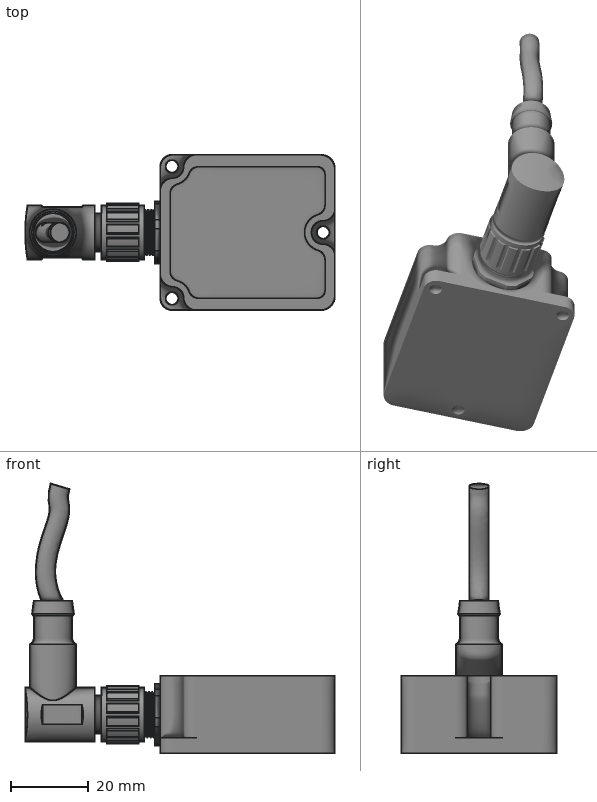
import cadquery as cq
import math


margin = 0.1

length = 45.0
width = 40.0
height = 20.0
flange_height = 4.1
front_corner_radius = 3.2
back_corner_radius = 3.7
hole_inset = 3.0
hole_radius = 1.6
notch_radius = 3.0
notch_edge_radius = 3.2
slot_edge_radius = 2.95

wall_x = 2.55
wall_y = 3.1
floor_thickness = 2.55
boss_radius = 4.8
cavity_corner_radius = 2.55
cavity_back_radius = 2.0
fill_gap = 0.3

mounting_points = [
    (hole_inset, width / 2 - hole_inset),
    (hole_inset, hole_inset - width / 2),
    (length - hole_inset, 0),
]

axis_z = 10.0
hex_front = -1.4
ring_back = -4.1
pad_back = -5.5
pad_front = -13.7
ring_front = -15.15
elbow_back = -16.8
elbow_front = length - 79.75

hex_across_flats = 15.0
hex_corner_radius = 8.05
hex_turn = 15.5
thread_core_radius = 5.4
thread_radius = 5.9
thread_pitch = 0.8
thread_foot = 0.7

barrel_radius = 7.0
pad_radius = 7.5
pad_count = 13
pad_base_angle = 23.0
pad_top_angle = 16.0
neck_radius = 4.95

end_face_radius = 38.9
flat_length = 10.1
flat_height = 5.0
flat_end_slope = 0.4
flat_middle_x = -25.2
tube_x = -27.6
tube_radius = 6.0
tube_top = 28.1
stem_radius = 4.95
blend_top = 29.75
collar_bottom = 35.5
collar_bottom_radius = 5.1
collar_widest_z = 35.9
collar_radius = 5.4
collar_top = 39.3
cable_radius = 2.55
cable_path = [(-27.3, 38.3), (-29.5, 46.25), (-27.8, 55.6), (-25.9, 63.0), (-25.75, 68.75)]
cable_start_tilt = -30.0
cable_end_tilt = 16.7


def box(x0, x1, y0, y1, z0, z1):
    """Block between two opposite corners."""
    return cq.Workplane("XY").box(x1 - x0, y1 - y0, z1 - z0, centered=False).translate((x0, y0, z0))


def rod(x0, x1, radius):
    """Cylinder on the connector axis."""
    return cq.Workplane("YZ", origin=(x0, 0, axis_z)).circle(radius).extrude(x1 - x0)


def polar(radius, degrees):
    angle = math.radians(degrees)
    return radius * math.cos(angle), radius * math.sin(angle)


def make_flange():
    """Full-size plate with rounded corners at the bottom of the housing."""
    plate = box(0, length, -width / 2, width / 2, 0, flange_height)
    plate = plate.edges("|Z and <X").fillet(front_corner_radius)
    return plate.edges("|Z and >X").fillet(back_corner_radius)


def make_upper_block():
    """Block above the flange, notched around each mounting hole."""
    half = width / 2
    block = box(0, length, -half, half, 0, height)
    block = block.edges("|Z and >X").fillet(back_corner_radius)

    notch_size = hole_inset + notch_radius
    for y in (-half, half - notch_size):
        block = block.cut(box(0, notch_size, y, y + notch_size, 0, height))
    for sign in (-1, 1):
        inner = (notch_size, sign * (half - notch_size), height / 2)
        side_edges = [(0, inner[1], inner[2]), (notch_size, sign * half, inner[2])]
        block = block.edges(cq.NearestToPointSelector(inner)).fillet(notch_radius)
        for point in side_edges:
            block = block.edges(cq.NearestToPointSelector(point)).fillet(notch_edge_radius)

    hole_x = length - hole_inset
    slot = box(hole_x, length, -notch_radius, notch_radius, 0, height)
    slot = slot.union(cq.Workplane("XY").center(hole_x, 0).circle(notch_radius).extrude(height))
    block = block.cut(slot)
    for sign in (-1, 1):
        mouth = (length, sign * notch_radius, height / 2)
        block = block.edges(cq.NearestToPointSelector(mouth)).fillet(slot_edge_radius)
    return block.intersect(box(0, length, -half, half, flange_height, height))


def make_cavity(top):
    """Space inside the walls from the floor up to `top`, bending around the notches."""
    half = width / 2 - wall_y
    back = length - wall_x
    cavity = box(wall_x, back, -half, half, floor_thickness, top)
    cavity = cavity.edges("|Z and >X").fillet(cavity_back_radius)
    bosses = cq.Workplane("XY").pushPoints(mounting_points).circle(boss_radius).extrude(height)
    cavity = cavity.cut(bosses)
    front_zone = cq.selectors.BoxSelector((0, -half - margin, 0), (length / 2, half + margin, height))
    cavity = cavity.edges("|Z").edges(front_zone).fillet(cavity_corner_radius)
    back_zone = cq.selectors.BoxSelector((back - margin, -boss_radius, 0), (length, boss_radius, height))
    return cavity.edges("|Z").edges(back_zone).fillet(cavity_corner_radius)


def make_housing():
    """Open-topped box with mounting holes and a round seat for the hexagonal collar."""
    holes = cq.Workplane("XY").pushPoints(mounting_points).circle(hole_radius).extrude(height)
    seat = rod(0, wall_x, hex_corner_radius)
    return make_flange().union(make_upper_block()).cut(make_cavity(height)).cut(holes).cut(seat)


def make_potting():
    """Fill of the housing cavity."""
    return make_cavity(height - fill_gap)


def make_thread():
    """Helical ridge over the exposed part of the socket."""
    root = thread_core_radius - margin
    turns_length = hex_front - ring_back + 2 * thread_pitch
    helix = cq.Wire.makeHelix(thread_pitch, turns_length, root)
    half_foot = thread_foot / 2
    ridge = (
        cq.Workplane("XZ")
        .polyline([(root, -half_foot), (thread_radius, 0), (root, half_foot)])
        .close()
        .sweep(cq.Workplane(obj=helix), isFrenet=True)
        .rotate((0, 0, 0), (0, 1, 0), 90)
        .translate((ring_back - thread_pitch, 0, axis_z))
    )
    return ridge.intersect(rod(ring_back, hex_front, pad_radius))


def make_socket():
    """Hexagonal collar, thread, and the plain end that enters the coupling ring."""
    across_corners = hex_across_flats / math.cos(math.pi / 6)
    collar = (
        cq.Workplane("YZ", origin=(hex_front, 0, axis_z))
        .polygon(6, across_corners)
        .extrude(wall_x - hex_front)
        .rotate((0, 0, axis_z), (1, 0, axis_z), 30 - hex_turn)
        .intersect(rod(hex_front, wall_x, hex_corner_radius))
    )
    return collar.union(rod(pad_front, hex_front, thread_core_radius)).union(make_thread())


def make_coupling_ring():
    """Socket end of the plug, a ring with grip pads around it."""
    ring = rod(ring_front, ring_back, barrel_radius)
    foot_radius = barrel_radius - margin
    pad = (
        cq.Workplane("YZ", origin=(pad_front, 0, axis_z))
        .moveTo(*polar(foot_radius, -pad_base_angle / 2))
        .lineTo(*polar(pad_radius, -pad_top_angle / 2))
        .threePointArc((pad_radius, 0), polar(pad_radius, pad_top_angle / 2))
        .lineTo(*polar(foot_radius, pad_base_angle / 2))
        .close()
        .extrude(pad_back - pad_front)
    )
    for index in range(pad_count):
        turn = index * 360 / pad_count
        ring = ring.union(pad.rotate((0, 0, axis_z), (1, 0, axis_z), turn))
    return ring.cut(rod(pad_front, ring_back, thread_core_radius))


def make_elbow_barrel():
    """Horizontal barrel with a bowed end face and two side flats."""
    barrel = rod(elbow_front, elbow_back, barrel_radius)
    bow = (
        cq.Workplane("XY")
        .center(elbow_front + end_face_radius, 0)
        .circle(end_face_radius)
        .extrude(height)
    )
    barrel = barrel.intersect(bow)
    half_floor = flat_length / 2
    floor_y = math.sqrt(barrel_radius**2 - (flat_height / 2) ** 2)
    half_mouth = half_floor + flat_end_slope
    mouth_y = barrel_radius + margin
    flat = (
        cq.Workplane("XY", origin=(flat_middle_x, 0, 0))
        .moveTo(-half_floor, floor_y)
        .lineTo(-half_mouth, mouth_y)
        .lineTo(half_mouth, mouth_y)
        .lineTo(half_floor, floor_y)
        .close()
        .extrude(height)
    )
    return barrel.cut(flat).cut(flat.mirror("XZ"))


def make_cable_outlet():
    """Upright tube, blended into a slimmer stem with a tapered collar."""
    blend_width = tube_radius - stem_radius
    blend_height = blend_top - tube_top
    blend_radius = (blend_width**2 + blend_height**2) / (2 * blend_width)
    half_angle = math.asin(blend_height / blend_radius) / 2
    blend_middle = (
        stem_radius + blend_radius * (1 - math.cos(half_angle)),
        blend_top - blend_radius * math.sin(half_angle),
    )
    return (
        cq.Workplane("XZ", origin=(tube_x, 0, 0))
        .moveTo(0, axis_z)
        .lineTo(tube_radius, axis_z)
        .lineTo(tube_radius, tube_top)
        .threePointArc(blend_middle, (stem_radius, blend_top))
        .lineTo(stem_radius, collar_bottom)
        .lineTo(collar_bottom_radius, collar_bottom)
        .lineTo(collar_radius, collar_widest_z)
        .lineTo(stem_radius, collar_top)
        .lineTo(0, collar_top)
        .close()
        .revolve(360, (0, 0, 0), (0, 1, 0))
    )


def make_cable():
    """Cable rising in an S-bend from inside the collar."""

    def direction(tilt):
        angle = math.radians(tilt)
        return cq.Vector(math.sin(angle), 0, math.cos(angle))

    points = [cq.Vector(x, 0, z) for x, z in cable_path]
    start = direction(cable_start_tilt)
    path = cq.Edge.makeSpline(points, tangents=[start, direction(cable_end_tilt)])
    section = cq.Workplane(cq.Plane(origin=points[0], xDir=(0, 1, 0), normal=start))
    return section.circle(cable_radius).sweep(cq.Workplane(obj=cq.Wire.assembleEdges([path])))


def make_plug():
    """Elbow with its coupling ring and moulded-on cable."""
    neck = rod(elbow_back, ring_front, neck_radius)
    elbow = make_elbow_barrel().union(make_cable_outlet()).union(make_cable())
    return elbow.union(neck).union(make_coupling_ring())


housing = make_housing()
potting = make_potting()
socket = make_socket()
plug = make_plug()

result = cq.Compound.makeCompound(
    [housing.solids().val(), potting.solids().val(), socket.solids().val(), plug.solids().val()]
)